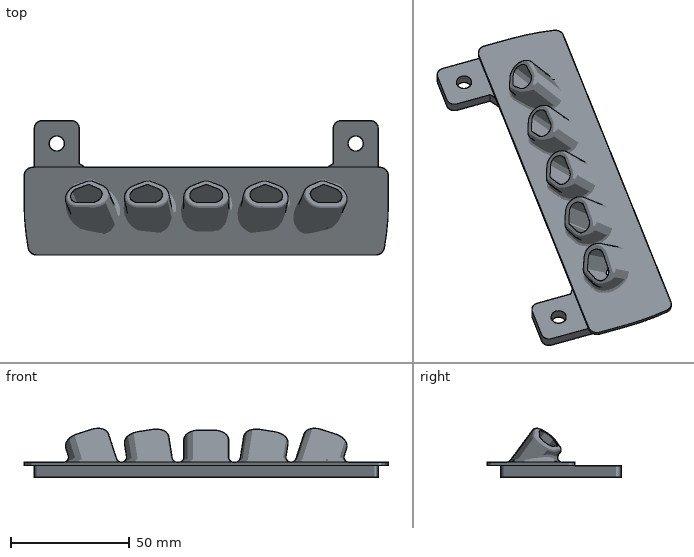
import cadquery as cq
import math

plate_length = 154.0
plate_depth = 37.1
plate_thickness = 1.5
plate_front_half_width = 74.7
plate_side_bend_y = 21.4
plate_side_mid_x = 76.4
plate_side_mid_y = 10.5
plate_corner_radius = 3.7

total_depth = 56.8
base_height = 5.0
base_width = 145.4
base_front_y = 5.7
base_front_step = 0.3
base_front_ramp_start = 68.2
base_front_ramp_end = 64.5
base_corner_diameter = 4.8
tab_width = 19.1
tab_corner_radius = 3.4
tab_gusset_width = 4.6
tab_gusset_depth = 3.1
base_back_inset = 1.5
tab_hole_diameter = 6.3
tab_hole_from_back = 9.7

socket_count = 5
socket_pitch = 23.7
socket_lean_back = 35.0
socket_splay_step = 9.0
socket_rim_y = 25.3
socket_rim_height = 17.0
bore_flat_width = 6.3
bore_side_diameter = 7.5
bore_roof_slope = 25.0
bore_tip_radius = 1.2
socket_wall = 2.6
rim_fillet = 1.5
foot_fillet = 2.0
prism_length = 38.5

plate_bottom = base_height
plate_top = base_height + plate_thickness


def make_plate():
    half = plate_length / 2
    outline = (
        cq.Workplane("XY", origin=(0, 0, plate_bottom))
        .moveTo(-half, plate_depth)
        .lineTo(half, plate_depth)
        .lineTo(half, plate_side_bend_y)
        .threePointArc((plate_side_mid_x, plate_side_mid_y), (plate_front_half_width, 0))
        .lineTo(-plate_front_half_width, 0)
        .threePointArc((-plate_side_mid_x, plate_side_mid_y), (-half, plate_side_bend_y))
        .close()
    )
    plate = outline.extrude(plate_thickness)
    corners = plate.edges("|Z").edges(">Y or <Y")
    return corners.fillet(plate_corner_radius)


def make_base():
    half = base_width / 2
    ledge_y = base_front_y + base_front_step
    tab_inner_x = half - tab_width
    gusset_inner_x = tab_inner_x - tab_gusset_width
    base_back_y = plate_depth - base_back_inset
    right_half = [
        (base_front_ramp_end, base_front_y),
        (base_front_ramp_start, ledge_y),
        (half, ledge_y),
        (half, total_depth),
        (tab_inner_x, total_depth),
        (tab_inner_x, base_back_y + tab_gusset_depth),
        (gusset_inner_x, base_back_y),
    ]
    left_half = [(-x, y) for x, y in reversed(right_half)]
    base = cq.Workplane("XY").polyline(right_half + left_half).close().extrude(base_height)
    base = base.edges("|Z").edges(">Y").fillet(tab_corner_radius)
    base = base.edges("|Z").edges("<X or >X").edges("<Y").fillet(base_corner_diameter / 2)
    hole_x = half - tab_width / 2
    hole_y = total_depth - tab_hole_from_back
    holes = (
        cq.Workplane("XY")
        .pushPoints([(-hole_x, hole_y), (hole_x, hole_y)])
        .circle(tab_hole_diameter / 2)
        .extrude(base_height)
    )
    return base.cut(holes)


def socket_plane(index):
    """Plane of one socket's rim; its normal is the socket axis."""
    lean = math.radians(socket_lean_back)
    splay = math.radians(index * socket_splay_step)
    axis = cq.Vector(
        math.cos(lean) * math.sin(splay), math.sin(lean), math.cos(lean) * math.cos(splay)
    )
    across = cq.Vector(math.cos(splay), 0, -math.sin(splay))
    rise = socket_rim_height - plate_top
    center = cq.Vector(
        index * socket_pitch + rise * math.sin(splay),
        socket_rim_y,
        plate_top + rise * math.cos(splay),
    )
    return cq.Plane(origin=center, xDir=across, normal=axis)


def teardrop_prism(plane, growth, length):
    """Flat-bottomed teardrop, offset outward by growth, running down from the rim."""
    slope = math.radians(bore_roof_slope)
    radius = bore_side_diameter / 2 + growth
    side_x = bore_flat_width / 2
    tangent_x = side_x + radius * math.sin(slope)
    tangent_y = radius * math.cos(slope)
    tip_y = tangent_y + tangent_x * math.tan(slope)
    prism = (
        cq.Workplane(plane)
        .moveTo(-side_x, -radius)
        .lineTo(side_x, -radius)
        .tangentArcPoint((tangent_x, tangent_y), relative=False)
        .lineTo(0, tip_y)
        .lineTo(-tangent_x, tangent_y)
        .threePointArc((-side_x - radius, 0), (-side_x, -radius))
        .close()
        .extrude(-length)
    )
    tip_middle = plane.toWorldCoords((0, tip_y, -length / 2))
    tip = cq.selectors.NearestToPointSelector(tip_middle.toTuple())
    return prism.edges(tip).fillet(bore_tip_radius + growth)


def make_tube(index):
    """Solid outside of one socket, with a rounded rim, cut off inside the plate."""
    plane = socket_plane(index)
    tube = teardrop_prism(plane, socket_wall, prism_length)
    rim = cq.selectors.NearestToPointSelector(plane.origin.toTuple())
    tube = tube.faces(rim).edges().fillet(rim_fillet)
    room_above = cq.Workplane("XY", origin=(0, 0, plate_bottom)).box(
        2 * plate_length, 2 * plate_length, plate_length, centered=(True, True, False)
    )
    return tube.intersect(room_above)


def round_socket_feet(body):
    """Fillet the corner where the sockets meet the top of the plate."""
    sliver = 0.02
    edge_margin = 1.5
    half = plate_length / 2
    feet = cq.selectors.BoxSelector(
        (edge_margin - half, edge_margin, plate_top - sliver),
        (half - edge_margin, plate_depth - edge_margin, plate_top + sliver),
    )
    return body.edges(feet).fillet(foot_fillet)


middle_index = socket_count // 2
socket_indices = [i - middle_index for i in range(socket_count)]

result = make_base().union(make_plate())
for socket_index in socket_indices:
    result = result.union(make_tube(socket_index))
result = round_socket_feet(result)
for socket_index in socket_indices:
    result = result.cut(teardrop_prism(socket_plane(socket_index), 0, prism_length))